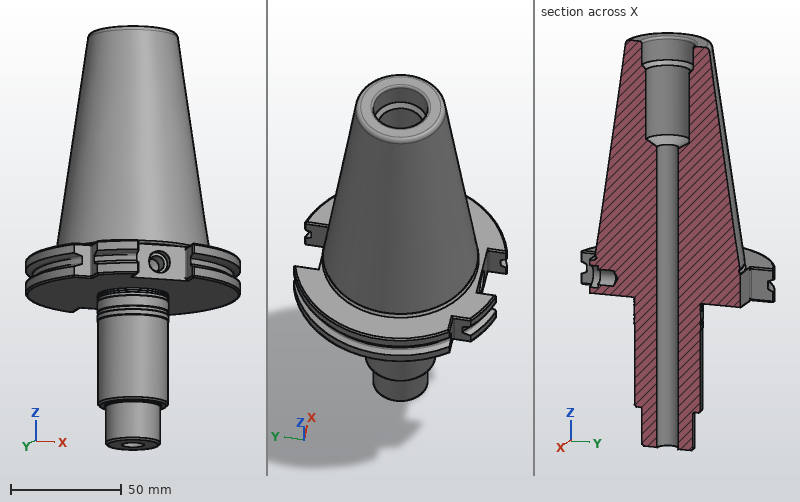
import cadquery as cq
import math

gauge_radius = 35.0
taper_top = 101.7
taper_slope = 7 / 48
taper_tip_fillet = 2.3
taper_bottom = -1.0
relief_radius = 34.5
relief_level = -2.0
relief_foot_radius = 35.5

flange_radius = 48.7
flange_top = -3.2
flange_bottom = -19.0
rim_chamfer = 0.8
groove_center = -11.0
groove_floor_radius = 45.6
groove_floor_width = 3.6
groove_mouth_width = 6.3
groove_fillet = 0.8

slot_width = 25.7
front_slot_floor = 37.6
back_slot_floor = 35.2
notch_offset = 30.0
pocket_corner_fillet = 0.5

screw_diameter = 7.0
screw_depth = 11.5
screw_recess_diameter = 10.0
screw_recess_depth = 4.0
drill_point_half_angle = 59

total_length = 190.1
stem_bottom = taper_top - total_length
body_radius = 32.0 / 2
body_bottom = -70.3
band_radius = 32.5 / 2
band_chamfer = 0.29
bands = [
    (-20.0, -21.0, 0),
    (-22.2, -27.4, band_chamfer),
    (-28.7, -31.4, band_chamfer),
]
nose_radius = 24.9 / 2
nose_root = 0.5
stem_chamfer = 1.0

counterbore_diameter = 24.7
counterbore_depth = 11.0
mouth_fillet = 1.1
thread_diameter = 20.7
thread_depth = 45.6
coolant_diameter = 10.0

match_tolerance = 0.02


def revolve(points):
    """Turn a closed (r, z) outline around the Z axis."""
    return cq.Workplane("XZ").polyline(points).close().revolve(360, (0, 0), (0, 1))


def is_near(value, target):
    return abs(value - target) < match_tolerance


def pick(solid, selector, test):
    """The selected edges of a solid that pass the test."""
    return solid.newObject([edge for edge in solid.edges(selector).vals() if test(edge)])


def drill_point(radius_loss):
    """Height of the cone a drill leaves while its radius shrinks by the given amount."""
    return radius_loss / math.tan(math.radians(drill_point_half_angle))


def make_shank():
    tip_radius = gauge_radius - taper_top * taper_slope
    bottom_radius = gauge_radius - taper_bottom * taper_slope
    shank = revolve([
        (0, taper_top),
        (tip_radius, taper_top),
        (bottom_radius, taper_bottom),
        (relief_radius, relief_level),
        (relief_foot_radius, flange_top),
        (0, flange_top),
    ])
    return shank.faces(">Z").edges().fillet(taper_tip_fillet)


def make_flange_disc():
    half_floor = groove_floor_width / 2
    half_mouth = groove_mouth_width / 2
    disc = revolve([
        (0, flange_top),
        (flange_radius, flange_top),
        (flange_radius, groove_center + half_mouth),
        (groove_floor_radius, groove_center + half_floor),
        (groove_floor_radius, groove_center - half_floor),
        (flange_radius, groove_center - half_mouth),
        (flange_radius, flange_bottom),
        (0, flange_bottom),
    ])
    floor_rims = pick(disc, "%CIRCLE", lambda edge: is_near(edge.radius(), groove_floor_radius))
    return floor_rims.fillet(groove_fillet)


def box_between(corner, opposite):
    """Box as tall as the flange between two opposite (x, y) corners."""
    size_x = opposite[0] - corner[0]
    size_y = opposite[1] - corner[1]
    return (cq.Workplane("XY", origin=(corner[0], corner[1], flange_bottom))
            .box(size_x, size_y, flange_top - flange_bottom, centered=False))


def on_end_face(edge):
    """True for edges that lie in the top or bottom face of the flange."""
    lies_flat = edge.BoundingBox().zlen < match_tolerance
    height = edge.Center().z
    return lies_flat and (is_near(height, flange_top) or is_near(height, flange_bottom))


def is_sharp_outer_edge(edge):
    """True for end-face edges, except along the slot floors, and for the slots' outer corners."""
    center = edge.Center()
    straight = edge.geomType() == "LINE"
    on_slot_floor = straight and is_near(center.x, 0)
    on_slot_wall = straight and is_near(abs(center.x), slot_width / 2)
    on_rim = is_near(math.hypot(center.x, center.y), flange_radius)
    return (on_end_face(edge) and not on_slot_floor) or (on_slot_wall and on_rim)


def in_pocket_corner(edge):
    """True for the upright inner corners of the slots and the notch."""
    center = edge.Center()
    in_slot = is_near(abs(center.x), slot_width / 2) and (
        is_near(center.y, -front_slot_floor) or is_near(center.y, back_slot_floor))
    in_notch = is_near(center.x, -notch_offset) and is_near(center.y, -notch_offset)
    return in_slot or in_notch


def make_flange():
    outside = 2 * flange_radius
    half_slot = slot_width / 2
    flange = make_flange_disc()
    flange = flange.cut(box_between((-half_slot, -outside), (half_slot, -front_slot_floor)))
    flange = flange.cut(box_between((-half_slot, back_slot_floor), (half_slot, outside)))
    flange = flange.cut(box_between((-outside, -outside), (-notch_offset, -notch_offset)))

    flange = pick(flange, None, is_sharp_outer_edge).chamfer(rim_chamfer)
    return pick(flange, "|Z", in_pocket_corner).fillet(pocket_corner_fillet)


def make_stem():
    stem = revolve([
        (0, flange_bottom),
        (body_radius, flange_bottom),
        (body_radius, body_bottom + stem_chamfer),
        (body_radius - stem_chamfer, body_bottom),
        (nose_radius + nose_root, body_bottom),
        (nose_radius, body_bottom - nose_root),
        (nose_radius, stem_bottom + stem_chamfer),
        (nose_radius - stem_chamfer, stem_bottom),
        (0, stem_bottom),
    ])
    for top, bottom, chamfer in bands:
        band = cq.Workplane("XY", origin=(0, 0, bottom)).circle(band_radius).extrude(top - bottom)
        if chamfer:
            band = band.edges().chamfer(chamfer)
        stem = stem.union(band)
    return stem


def make_bore():
    counterbore_radius = counterbore_diameter / 2
    thread_radius = thread_diameter / 2
    coolant_radius = coolant_diameter / 2
    shoulder = taper_top - counterbore_depth
    thread_bottom = taper_top - thread_depth
    return revolve([
        (0, taper_top),
        (counterbore_radius, taper_top),
        (counterbore_radius, shoulder),
        (thread_radius, shoulder - (counterbore_radius - thread_radius)),
        (thread_radius, thread_bottom),
        (coolant_radius, thread_bottom - drill_point(thread_radius - coolant_radius)),
        (coolant_radius, stem_bottom),
        (0, stem_bottom),
    ])


def make_screw_hole():
    """Recessed blind hole that runs from the slot floor along +Y."""
    recess_radius = screw_recess_diameter / 2
    radius = screw_diameter / 2
    outline = [
        (0, 0),
        (recess_radius, 0),
        (recess_radius, screw_recess_depth),
        (radius, screw_recess_depth),
        (radius, screw_depth),
        (0, screw_depth + drill_point(radius)),
    ]
    floor_plane = cq.Workplane("XY", origin=(0, -front_slot_floor, groove_center))
    return floor_plane.polyline(outline).close().revolve(360, (0, 0), (0, 1))


def is_bore_mouth(edge):
    return is_near(edge.radius(), counterbore_diameter / 2)


holder = make_shank().union(make_flange()).union(make_stem())
holder = holder.cut(make_bore()).cut(make_screw_hole())
result = pick(holder.faces(">Z"), "%CIRCLE", is_bore_mouth).fillet(mouth_fillet)